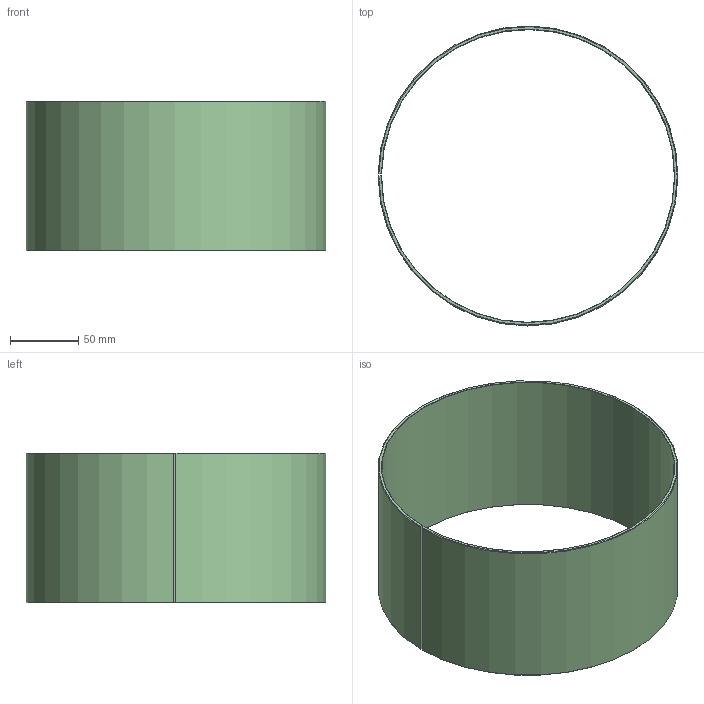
import cadquery as cq

outer_diameter = 220.0
wall_thickness = 2.5
height = 110.0
outer_chamfer = 0.5
inner_chamfer = 0.2
slit_angle = 1.0

outer_radius = outer_diameter / 2
inner_radius = outer_radius - wall_thickness
sweep_angle = 360.0 - slit_angle


def make_wall_section():
    """Wall cross-section on the -X side, chamfered at all four corners."""
    return (
        cq.Workplane("XZ")
        .moveTo(-outer_radius, outer_chamfer)
        .lineTo(-outer_radius + outer_chamfer, 0)
        .lineTo(-inner_radius - inner_chamfer, 0)
        .lineTo(-inner_radius, inner_chamfer)
        .lineTo(-inner_radius, height - inner_chamfer)
        .lineTo(-inner_radius - inner_chamfer, height)
        .lineTo(-outer_radius + outer_chamfer, height)
        .lineTo(-outer_radius, height - outer_chamfer)
        .close()
    )


def make_split_ring():
    """Revolve the wall about Z, stopping short to leave a slit on the -X, +Y side of the start."""
    return make_wall_section().revolve(sweep_angle, (0, 0, 0), (0, 1, 0))


result = make_split_ring()